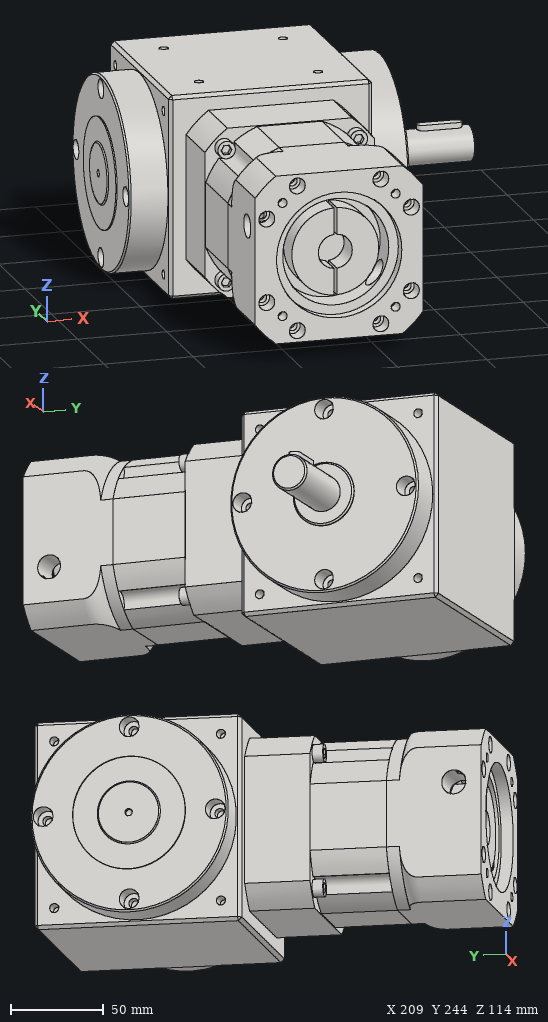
import cadquery as cq
import math


TOTAL_LENGTH = 244.0
CUBE_SIDE = 114.0
COUPLING_LENGTH = 35.9
RING_LENGTH = 42.0
CUBE_HALF = CUBE_SIDE / 2
COUPLING_START = -CUBE_HALF
RING_START = COUPLING_START - COUPLING_LENGTH
ADAPTER_START = RING_START - RING_LENGTH
ADAPTER_END = CUBE_HALF - TOTAL_LENGTH

CUBE_CHAMFER = 2.0
TOP_HOLE_OFFSET = 33.5
CORNER_HOLE_OFFSET = 45.9
TAPPED_RADIUS = 2.5
TAPPED_DEPTH = 9.8

FLANGE_RADIUS = 54.5
FLANGE_FACE = 78.5
FLANGE_CHAMFER = 1.0
FLANGE_BOLT_CIRCLE = 47.3
FLANGE_BOLT_COUNT = 4
FLANGE_COUNTERBORE_RADIUS = 5.4
FLANGE_COUNTERBORE_DEPTH = 12.2
FLANGE_HOLE_RADIUS = 2.7
FLANGE_HOLE_DEPTH = 18.3
CAP_RADIUS = 31.0
CAP_HEIGHT = 0.7

HUB_DISC_RADIUS = 17.5
HUB_DISC_FACE = 80.0
HUB_DISC_CHAMFER = 1.0
CENTRE_HOLE_RADIUS = 2.0
CENTRE_HOLE_DEPTH = 2.5

SHAFT_RADIUS = 10.0
SHAFT_END = 129.0
SHAFT_CHAMFER = 1.0
KEY_LENGTH = 25.4
KEY_WIDTH = 6.0
KEY_START = 98.5
KEY_TOP = 12.7

COUPLING_HALF_WIDTH = 47.5
HALF_WIDTH = 47.0
CORNER_RADIUS = 59.0
RING_RADIUS = 50.5
SCREW_OFFSET = 37.0
SCREW_HEAD_RADIUS = 5.0
SCREW_HEAD_HEIGHT = 5.9
SOCKET_WIDTH_ACROSS_CORNERS = 5.9
SOCKET_DEPTH = 3.0
SCREW_GROOVE_RADIUS = 6.3

NECK_LENGTH = 7.0
SHOULDER_ROUND = 10.0
SPIGOT_RADIUS = 35.1
SPIGOT_DEPTH = 6.5
POCKET_RADIUS = 29.8
POCKET_DEPTH = 23.0
CLAMP_RADIUS = 24.5
CLAMP_RECESS = 7.3
CLAMP_BORE_RADIUS = 9.5
CLAMP_SLIT_WIDTH = 1.7
ACCESS_HOLE_RADIUS = 6.5
ACCESS_HOLE_FROM_END = 15.1
ACCESS_HOLE_HEIGHT = 15.9
MOTOR_BOLT_CIRCLE = 46.8
MOTOR_BOLT_ANGLES = (30, 60)
MOTOR_HOLE_RADIUS = 4.5
MOTOR_HOLE_DEPTH = 9.8
MOTOR_CORE_HOLE_RADIUS = 2.7
MOTOR_CORE_HOLE_DEPTH = 14.6
PIN_OFFSET = 31.7
PIN_HOLE_RADIUS = 2.5

DRILL_POINT_ANGLE = 118
CORNERS = [(1, 1), (1, -1), (-1, -1), (-1, 1)]


def cylinder_x(radius, start, end):
    """Cylinder on the X axis from x = start up to x = end."""
    return cq.Workplane("YZ", origin=(start, 0, 0)).circle(radius).extrude(end - start)


def cylinder_y(radius, start, end, x=0.0, z=0.0):
    """Cylinder parallel to the Y axis, from y = start down to y = end."""
    return cq.Workplane("XZ", origin=(x, start, z)).circle(radius).extrude(start - end)


def drilled_hole(point, direction, radius, depth):
    """Tool for a blind hole with a conical drill tip."""
    start = cq.Vector(*point)
    axis = cq.Vector(*direction)
    tip_length = radius / math.tan(math.radians(DRILL_POINT_ANGLE / 2))
    shank = cq.Solid.makeCylinder(radius, depth, start, axis)
    tip = cq.Solid.makeCone(radius, 0, tip_length, start + axis * depth, axis)
    return cq.Workplane(shank).union(cq.Workplane(tip))


def square_prism(half_width, start, end):
    """Square prism on the Y axis, from y = start down to y = end."""
    side = 2 * half_width
    return cq.Workplane("XZ", origin=(0, start, 0)).rect(side, side).extrude(start - end)


def round_cornered_prism(half_width, corner_radius, start, end):
    """Square prism whose corners are turned to a radius about the Y axis."""
    return square_prism(half_width, start, end).intersect(cylinder_y(corner_radius, start, end))


def flange(side):
    """Round bearing cover and shaft disc on the +X (side = 1) or -X (side = -1) face of the cube."""
    cover = cylinder_x(FLANGE_RADIUS, CUBE_HALF, FLANGE_FACE).faces(">X").chamfer(FLANGE_CHAMFER)
    disc = cylinder_x(HUB_DISC_RADIUS, CUBE_HALF, HUB_DISC_FACE).faces(">X").chamfer(HUB_DISC_CHAMFER)
    body = cover.union(disc)
    for index in range(FLANGE_BOLT_COUNT):
        angle = 2 * math.pi * index / FLANGE_BOLT_COUNT
        centre = (FLANGE_FACE, FLANGE_BOLT_CIRCLE * math.cos(angle), FLANGE_BOLT_CIRCLE * math.sin(angle))
        counterbore = cq.Solid.makeCylinder(
            FLANGE_COUNTERBORE_RADIUS, FLANGE_COUNTERBORE_DEPTH, cq.Vector(*centre), cq.Vector(-1, 0, 0)
        )
        body = body.cut(cq.Workplane(counterbore))
        body = body.cut(drilled_hole(centre, (-1, 0, 0), FLANGE_HOLE_RADIUS, FLANGE_HOLE_DEPTH))
    if side < 0:
        body = body.mirror("YZ")
    return body


def output_shaft():
    """Output shaft on +X with its round-ended key."""
    shaft = cylinder_x(SHAFT_RADIUS, CUBE_HALF, SHAFT_END).faces(">X").chamfer(SHAFT_CHAMFER)
    key = (
        cq.Workplane("XY", origin=(KEY_START + KEY_LENGTH / 2, 0, 0))
        .slot2D(KEY_LENGTH, KEY_WIDTH)
        .extrude(KEY_TOP)
    )
    return shaft.union(key)


def bevel_gearbox():
    """Cube housing with both flanges, the output shaft and the closed shaft end on -X."""
    body = cq.Workplane("XY").box(CUBE_SIDE, CUBE_SIDE, CUBE_SIDE).edges().chamfer(CUBE_CHAMFER)
    for a, b in CORNERS:
        top_point = (a * TOP_HOLE_OFFSET, b * TOP_HOLE_OFFSET, CUBE_HALF)
        body = body.cut(drilled_hole(top_point, (0, 0, -1), TAPPED_RADIUS, TAPPED_DEPTH))
        for side in (1, -1):
            side_point = (side * CUBE_HALF, a * CORNER_HOLE_OFFSET, b * CORNER_HOLE_OFFSET)
            body = body.cut(drilled_hole(side_point, (-side, 0, 0), TAPPED_RADIUS, TAPPED_DEPTH))
    body = body.union(flange(1)).union(flange(-1)).union(output_shaft())
    body = body.union(cylinder_x(CAP_RADIUS, -FLANGE_FACE - CAP_HEIGHT, -FLANGE_FACE))
    centre_point = (-HUB_DISC_FACE, 0, 0)
    return body.cut(drilled_hole(centre_point, (1, 0, 0), CENTRE_HOLE_RADIUS, CENTRE_HOLE_DEPTH))


def screw_head(x, z):
    """Socket head seated on the back of the coupling."""
    end = RING_START - SCREW_HEAD_HEIGHT
    head = cylinder_y(SCREW_HEAD_RADIUS, RING_START, end, x, z)
    socket = (
        cq.Workplane("XZ", origin=(x, end + SOCKET_DEPTH, z))
        .polygon(6, SOCKET_WIDTH_ACROSS_CORNERS)
        .extrude(SOCKET_DEPTH)
    )
    return head.cut(socket)


def planetary_stage():
    """Square coupling and ring gear case, with a groove and a screw at each corner."""
    coupling = round_cornered_prism(COUPLING_HALF_WIDTH, CORNER_RADIUS, COUPLING_START, RING_START)
    ring = round_cornered_prism(HALF_WIDTH, RING_RADIUS, RING_START, ADAPTER_START)
    for a, b in CORNERS:
        x = a * SCREW_OFFSET
        z = b * SCREW_OFFSET
        ring = ring.cut(cylinder_y(SCREW_GROOVE_RADIUS, RING_START, ADAPTER_START, x, z))
        coupling = coupling.union(screw_head(x, z))
    return coupling.union(ring)


def adapter_block():
    """Round core whose neck widens over a rounded shoulder into a square with turned corners."""
    shoulder = ADAPTER_START - NECK_LENGTH
    core = round_cornered_prism(HALF_WIDTH, RING_RADIUS, ADAPTER_START, ADAPTER_END)
    turned = cylinder_y(CORNER_RADIUS, shoulder, ADAPTER_END).faces(">Y").edges().fillet(SHOULDER_ROUND)
    return core.union(turned.intersect(square_prism(HALF_WIDTH, shoulder, ADAPTER_END)))


def clamp_hub():
    """Slotted clamping hub that stands on the floor of the pocket."""
    face = ADAPTER_END + CLAMP_RECESS
    floor = ADAPTER_END + POCKET_DEPTH
    hub = cylinder_y(CLAMP_RADIUS, floor, face).cut(cylinder_y(CLAMP_BORE_RADIUS, floor, face))
    slit = (
        cq.Workplane("XZ", origin=(0, floor, 0))
        .rect(CLAMP_SLIT_WIDTH, 2 * CLAMP_RADIUS)
        .extrude(floor - face)
    )
    return hub.cut(slit)


def motor_holes():
    """Tools for the stepped bolt holes and the four pin holes in the motor face."""
    tools = []
    for quarter in range(4):
        for bolt_angle in MOTOR_BOLT_ANGLES:
            angle = math.radians(90 * quarter + bolt_angle)
            x = MOTOR_BOLT_CIRCLE * math.cos(angle)
            z = MOTOR_BOLT_CIRCLE * math.sin(angle)
            tools.append(cylinder_y(MOTOR_HOLE_RADIUS, ADAPTER_END + MOTOR_HOLE_DEPTH, ADAPTER_END, x, z))
            core_end = ADAPTER_END + MOTOR_CORE_HOLE_DEPTH
            tools.append(cylinder_y(MOTOR_CORE_HOLE_RADIUS, core_end, ADAPTER_END, x, z))
    for a, b in CORNERS:
        point = (a * PIN_OFFSET, ADAPTER_END, b * PIN_OFFSET)
        tools.append(drilled_hole(point, (0, 1, 0), PIN_HOLE_RADIUS, TAPPED_DEPTH))
    return tools


def access_hole(side):
    """Tool for the clamp screw opening on +X (side = 1, low) or -X (side = -1, high)."""
    origin = (0, ADAPTER_END + ACCESS_HOLE_FROM_END, -side * ACCESS_HOLE_HEIGHT)
    return cq.Workplane("YZ", origin=origin).circle(ACCESS_HOLE_RADIUS).extrude(side * HALF_WIDTH)


def motor_adapter():
    """Motor flange with its spigot recess, clamping hub, access holes and mounting holes."""
    body = adapter_block()
    body = body.cut(cylinder_y(SPIGOT_RADIUS, ADAPTER_END + SPIGOT_DEPTH, ADAPTER_END))
    body = body.cut(cylinder_y(POCKET_RADIUS, ADAPTER_END + POCKET_DEPTH, ADAPTER_END))
    for side in (1, -1):
        body = body.cut(access_hole(side))
    for tool in motor_holes():
        body = body.cut(tool)
    return body.union(clamp_hub())


gearbox = bevel_gearbox()
stage = planetary_stage()
adapter = motor_adapter()

result = cq.Compound.makeCompound([gearbox.val(), stage.val(), adapter.val()])